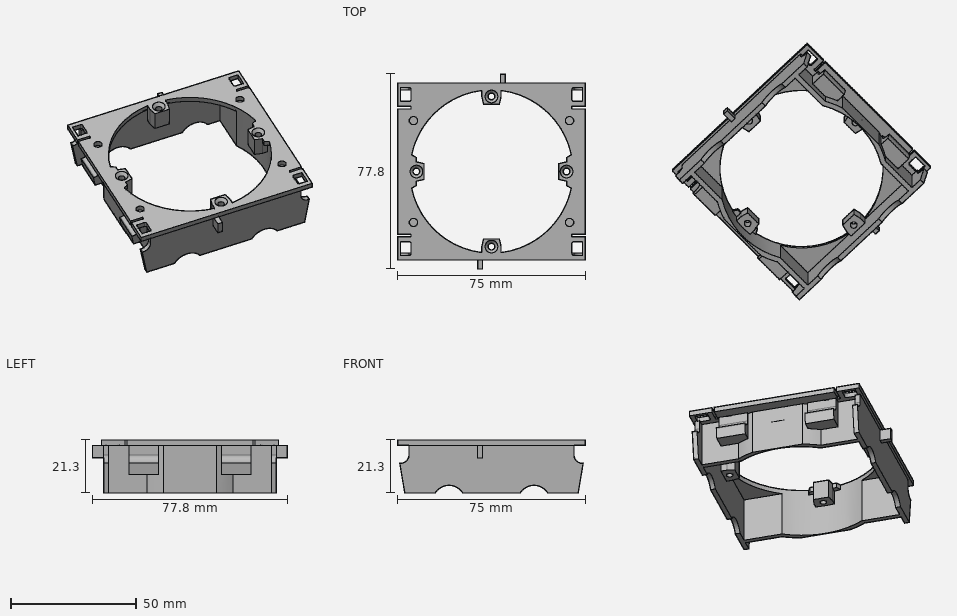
import cadquery as cq
import math

plate_length = 75.0
plate_width = 70.8
plate_thickness = 2.2
total_height = 21.3
total_width = 77.8
plate_bottom = total_height - plate_thickness

opening_radius = 32.5
wall_thickness = 2.0
ring_outer_radius = opening_radius + wall_thickness
end_wall_outer = 34.5
end_wall_inner = end_wall_outer - wall_thickness
side_wall_outer = 29.95
side_wall_inner = side_wall_outer - wall_thickness
ring_flat = 32.9

snap_root = 33.0
snap_radius = 3.3
snap_tip = 36.65
snap_tip_height = 12.0
snap_arc_top = snap_tip_height + snap_radius
snap_foot = 34.6
catch_bottom = 7.4
catch_y_near = 12.5
catch_y_far = 24.4

notch_offset = 16.95
notch_width = 11.05
notch_height = 3.1

boss_offset = 29.95
boss_tip = 26.85
boss_half_width = 3.9
boss_tip_half_width = 3.2
boss_height = 8.2
screw_hole_diameter = 2.6
countersink_diameter = 5.05
countersink_angle = 90
shoulder_half_width = 5.6
shoulder_root_half_width = 6.7

window_x_near = 32.1
window_x_far = 36.25
window_y_near = 28.1
window_y_far = 33.45
window_corner_radius = 0.6
slit_y_near = 25.05
slit_width = 0.9
dimple_x = 31.1
dimple_y = 20.3
dimple_diameter = 3.3
dimple_depth = plate_thickness

tab_width = 2.0
tab_height = 5.0
tab_offset = 4.5

CORNERS = [(sx, sy) for sx in (-1, 1) for sy in (-1, 1)]


def box_between(x0, x1, y0, y1, z0, z1):
    """Box spanning the given limits; each pair may come in either order."""
    size = (abs(x1 - x0), abs(y1 - y0), abs(z1 - z0))
    middle = ((x0 + x1) / 2, (y0 + y1) / 2, (z0 + z1) / 2)
    return cq.Workplane("XY").box(*size).translate(middle)


def cylinder(radius, z0, z1):
    return cq.Workplane("XY").workplane(offset=z0).circle(radius).extrude(z1 - z0)


def snap_slab(y0, y1):
    """Slab across X whose two ends carry the concave, undercut snap profile."""
    arc_end = snap_root + snap_radius
    arc_x = arc_end - snap_radius * math.cos(math.pi / 4)
    arc_z = snap_arc_top - snap_radius * math.sin(math.pi / 4)
    return (
        cq.Workplane("XZ", origin=(0, y1, 0))
        .moveTo(-snap_foot, 0)
        .lineTo(snap_foot, 0)
        .lineTo(snap_tip, snap_tip_height)
        .lineTo(arc_end, snap_tip_height)
        .threePointArc((arc_x, arc_z), (snap_root, snap_arc_top))
        .lineTo(snap_root, plate_bottom)
        .lineTo(-snap_root, plate_bottom)
        .lineTo(-snap_root, snap_arc_top)
        .threePointArc((-arc_x, arc_z), (-arc_end, snap_tip_height))
        .lineTo(-snap_tip, snap_tip_height)
        .close()
        .extrude(y1 - y0)
    )


def cable_notches():
    """Arched cuts along Y through the lower edge of both end walls."""
    half = notch_width / 2
    radius = (half**2 + notch_height**2) / (2 * notch_height)
    return (
        cq.Workplane("XZ", origin=(0, total_width / 2, 0))
        .pushPoints([(side * notch_offset, notch_height - radius) for side in (-1, 1)])
        .circle(radius)
        .extrude(total_width)
    )


def plate():
    """Top plate with the round opening, corner windows and edge slits."""
    body = box_between(
        -plate_length / 2, plate_length / 2,
        -plate_width / 2, plate_width / 2,
        plate_bottom, total_height,
    )
    body = body.cut(cylinder(opening_radius, plate_bottom, total_height))
    for sx, sy in CORNERS:
        window = box_between(
            sx * window_x_near, sx * window_x_far,
            sy * window_y_near, sy * window_y_far,
            plate_bottom, total_height,
        )
        window = window.edges("|Z").edges("<X" if sx > 0 else ">X").fillet(window_corner_radius)
        slit = box_between(
            sx * window_x_near, sx * plate_length / 2,
            sy * slit_y_near, sy * (slit_y_near + slit_width),
            plate_bottom, total_height,
        )
        body = body.cut(window).cut(slit)
    return body


def walls():
    """Straight end walls joined by side walls that bulge around the opening."""
    bulge = cylinder(ring_outer_radius, 0, plate_bottom).intersect(
        box_between(-ring_flat, ring_flat, -end_wall_inner, end_wall_inner, 0, plate_bottom)
    )
    body = box_between(-side_wall_outer, side_wall_outer, -end_wall_outer, end_wall_outer, 0, plate_bottom)
    body = body.union(bulge)
    for side in (-1, 1):
        y0, y1 = sorted((side * catch_y_near, side * catch_y_far))
        catches = snap_slab(y0, y1).intersect(
            box_between(-snap_tip, snap_tip, y0, y1, catch_bottom, plate_bottom)
        )
        y0, y1 = sorted((side * end_wall_inner, side * end_wall_outer))
        body = body.union(catches).union(snap_slab(y0, y1))
    cavity = box_between(-side_wall_inner, side_wall_inner, -end_wall_inner, end_wall_inner, 0, plate_bottom)
    round_cavity = cylinder(opening_radius, 0, plate_bottom).intersect(
        box_between(-opening_radius, opening_radius, -end_wall_inner, end_wall_inner, 0, plate_bottom)
    )
    return body.cut(cavity).cut(round_cavity).cut(cable_notches())


def mirrored_prism(outline, bottom):
    """Upright prism to the top face; the outline is completed by its mirror image across the X axis."""
    mirror_image = [(x, -y) for x, y in reversed(outline)]
    return (
        cq.Workplane("XY", origin=(0, 0, bottom))
        .polyline(outline + mirror_image)
        .close()
        .extrude(total_height - bottom)
    )


def boss(root):
    """Tapered screw boss on the +X side, reaching outward to x = root."""
    outline = [(boss_tip, boss_tip_half_width), (boss_offset, boss_half_width), (root, boss_half_width)]
    return mirrored_prism(outline, total_height - boss_height)


def shoulder():
    """Plate tongue flanking the boss on the +X side."""
    root = math.sqrt(opening_radius**2 - shoulder_root_half_width**2)
    outline = [
        (boss_offset, shoulder_half_width),
        (root, shoulder_root_half_width),
        (ring_flat, shoulder_root_half_width),
    ]
    return mirrored_prism(outline, plate_bottom)


def tab(side):
    """Small tab on the outer face of one end wall, directly under the plate."""
    middle = side * tab_offset
    return box_between(
        middle - tab_width / 2, middle + tab_width / 2,
        side * end_wall_inner, side * total_width / 2,
        plate_bottom - tab_height, plate_bottom,
    )


def screw_hole():
    """Countersunk through hole on the +X axis."""
    hole = cylinder(screw_hole_diameter / 2, 0, total_height).translate((boss_offset, 0, 0))
    sink_radius = countersink_diameter / 2
    cone_height = sink_radius / math.tan(math.radians(countersink_angle / 2))
    tip = cq.Vector(boss_offset, 0, total_height - cone_height)
    cone = cq.Solid.makeCone(0, sink_radius, cone_height, tip, cq.Vector(0, 0, 1))
    return hole.union(cq.Workplane(cone))


def dimples():
    """Blind round recesses in the top face, closed below by the side catches."""
    return (
        cq.Workplane("XY", origin=(0, 0, total_height - dimple_depth))
        .pushPoints([(sx * dimple_x, sy * dimple_y) for sx, sy in CORNERS])
        .circle(dimple_diameter / 2)
        .extrude(dimple_depth)
    )


def quarter_turns(body, quarters):
    return body.rotate((0, 0, 0), (0, 0, 1), 90 * quarters)


result = plate().union(walls()).union(tab(1)).union(tab(-1))
for quarter in range(4):
    on_side_wall = quarter % 2 == 0
    root = ring_flat if on_side_wall else end_wall_outer
    result = result.union(quarter_turns(boss(root), quarter))
    if on_side_wall:
        result = result.union(quarter_turns(shoulder(), quarter))
    result = result.cut(quarter_turns(screw_hole(), quarter))
result = result.cut(dimples())